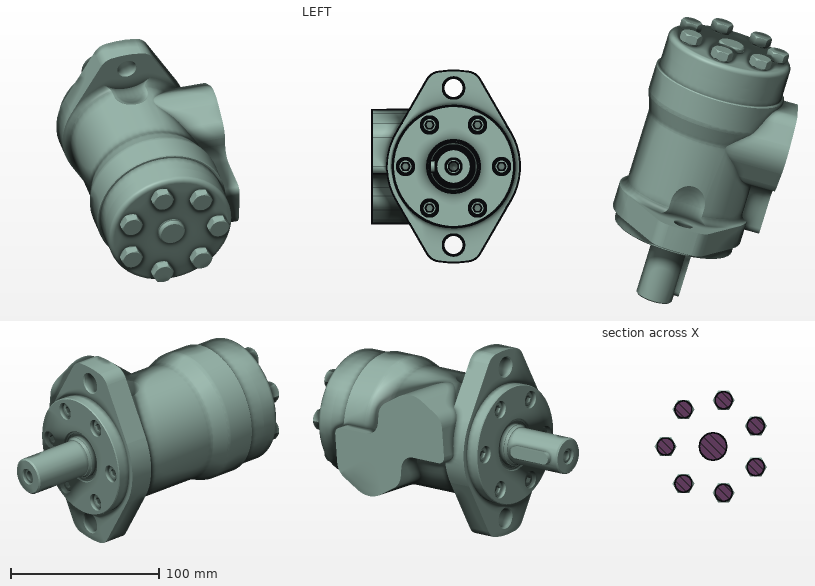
import cadquery as cq
import math

COLLAR_X = 42.7
COLLAR_CYLINDER_X = 44.5
PILOT_X = 46.0
FLANGE_X = 54.5
BODY_X = 70.9
NECK_END_X = 125.3
REAR_BARREL_X = 141.0
PLATE_X = 159.3
RING_X = 163.5
COVER_X = 170.9
COVER_END_X = 183.3
MOTOR_END_X = 190.5

BODY_RADIUS = 40.5
BARREL_RADIUS = 45.0
BLEND_LENGTH = 2.9
BARREL_CHAMFER = 0.5
PILOT_DIAMETER = 82.5
PILOT_CHAMFER = 0.5

FLANGE_TIP_RADIUS = 64.87
FLANGE_CORNER_RADIUS = 10.9
FLANGE_SLOPE = math.radians(60)
MOUNT_HOLE_DIAMETER = 13.3
MOUNT_HOLE_CHAMFER = 0.8
MOUNT_HOLE_OFFSET = 53.0
RELIEF_RADIUS = 24.8
RELIEF_OFFSET = 60.8
RELIEF_END_X = 80.2

BLOCK_FACE_Y = 55.0
BLOCK_CENTER_X = 110.5
LOBE_X = 92.5
LOBE_RADIUS = 20.2
LOBE_TOP_Z = 38.5
LOBE_SLOPE = math.radians(30)
SHOULDER_OFFSET = 27.0
SHOULDER_RADIUS = 11.8
SIDE_DRAFT = math.radians(5)
LEDGE_Z = 5.0
LEDGE_INNER_RADIUS = 10.0
LEDGE_OUTER_RADIUS = 4.8

FRONT_SCREW_COUNT = 6
FRONT_SCREW_CIRCLE_RADIUS = 32.4
COUNTERBORE_DIAMETER = 12.0
COUNTERBORE_DEPTH = 8.2
SCREW_HEAD_DIAMETER = 10.0
SCREW_HEAD_RECESS = 2.3
SCREW_HEAD_CHAMFER = 0.4
SOCKET_FLATS = 5.1
SOCKET_DEPTH = 2.9

SHAFT_DIAMETER = 25.0
SHAFT_CHAMFER = 1.0
SHAFT_END_X = 76.2
COLLAR_TIP_DIAMETER = 25.7
COLLAR_CONE_DIAMETER = 27.8
COLLAR_DIAMETER = 28.5
SEAL_RECESS_DIAMETER = 32.5
SEAL_RECESS_DEPTH = 2.0
SEAL_GAP_DIAMETER = 29.0
SEAL_GAP_DEPTH = 2.9
SEAL_RIM_DIAMETER = 34.9
SEAL_RIM_DEPTH = 1.1
SEAL_RIM_CHAMFER = 0.5
CENTER_COUNTERBORE_DIAMETER = 10.0
CENTER_COUNTERBORE_DEPTH = 2.0
CENTER_CHAMFER = 0.67
CENTER_HOLE_DIAMETER = 6.7
CENTER_HOLE_DEPTH = 15.2
DRILL_POINT_HALF_ANGLE = math.radians(59)

KEY_X = 5.1
KEY_LENGTH = 32.5
KEY_WIDTH = 8.0
KEY_TOP_Y = 15.6
KEY_BOTTOM_Y = 8.5

REAR_DIAMETER = 86.0
COVER_FILLET = 3.2
REAR_BOLT_COUNT = 7
REAR_BOLT_CIRCLE_RADIUS = 32.0
REAR_BOLT_FLATS = 13.0
REAR_BOLT_CHAMFER = 1.1
REAR_BOLT_NECK_DIAMETER = 11.8
REAR_BOLT_NECK_LENGTH = 0.8
PLUG_BASE_DIAMETER = 18.7
PLUG_BASE_LENGTH = 0.8
PLUG_DIAMETER = 18.0
PLUG_CHAMFER = 1.0
PLUG_END_X = 187.0


def cylinder(diameter, x_start, x_end, y=0, z=0):
    """Cylinder along the motor axis between two X places."""
    return (
        cq.Workplane("YZ", origin=(x_start, y, z))
        .circle(diameter / 2)
        .extrude(x_end - x_start)
    )


def hole_mouth(diameter, chamfer, x_face, z=0):
    """Cone that chamfers the mouth of a hole running in +X from a face."""
    cone = cq.Solid.makeCone(
        diameter / 2 + chamfer,
        diameter / 2,
        chamfer,
        pnt=cq.Vector(x_face, 0, z),
        dir=cq.Vector(1, 0, 0),
    )
    return cq.Workplane(cone)


def hexagon(flats, x_start, x_end, y=0, z=0):
    """Hexagonal prism along the motor axis with two of its corners pointing to +Y and -Y."""
    corners = flats / math.cos(math.radians(30))
    return (
        cq.Workplane("YZ", origin=(x_start, y, z))
        .polygon(6, corners)
        .extrude(x_end - x_start)
    )


def bolt_circle(radius, count):
    """Evenly spaced (y, z) places around the motor axis, the first on +Y."""
    angles = [2 * math.pi * i / count for i in range(count)]
    return [(radius * math.cos(a), radius * math.sin(a)) for a in angles]


def make_barrel():
    """Body with a blend into the flange, and a cone flaring out to the rear barrel."""
    flange_blend = BARREL_RADIUS - BODY_RADIUS
    cone_length = REAR_BARREL_X - NECK_END_X - 2 * BLEND_LENGTH
    cone_angle = math.atan((BARREL_RADIUS - BODY_RADIUS) / (cone_length + BLEND_LENGTH))
    blend_rise = BLEND_LENGTH * math.tan(cone_angle / 2)
    lower_blend_end = (NECK_END_X + BLEND_LENGTH, BODY_RADIUS + blend_rise)
    upper_blend_start = (REAR_BARREL_X - BLEND_LENGTH, BARREL_RADIUS - blend_rise)
    diagonal = flange_blend * (1 - math.sqrt(0.5))
    return (
        cq.Workplane("XY")
        .moveTo(FLANGE_X, 0)
        .lineTo(FLANGE_X, BARREL_RADIUS)
        .lineTo(BODY_X, BARREL_RADIUS)
        .threePointArc(
            (BODY_X + diagonal, BODY_RADIUS + diagonal), (BODY_X + flange_blend, BODY_RADIUS)
        )
        .lineTo(NECK_END_X, BODY_RADIUS)
        .tangentArcPoint(lower_blend_end, relative=False)
        .lineTo(*upper_blend_start)
        .tangentArcPoint((REAR_BARREL_X, BARREL_RADIUS), relative=False)
        .lineTo(PLATE_X - BARREL_CHAMFER, BARREL_RADIUS)
        .lineTo(PLATE_X, BARREL_RADIUS - BARREL_CHAMFER)
        .lineTo(PLATE_X, 0)
        .close()
        .revolve(360, (0, 0, 0), (1, 0, 0))
    )


def make_flange():
    """Rhombus around the barrel circle, with its tips cut round and all its corners rounded."""
    side_y = BARREL_RADIUS / math.sin(FLANGE_SLOPE)
    tip_z = BARREL_RADIUS / math.cos(FLANGE_SLOPE)
    rhombus = (
        cq.Workplane("YZ", origin=(FLANGE_X, 0, 0))
        .polyline([(side_y, 0), (0, tip_z), (-side_y, 0), (0, -tip_z)])
        .close()
        .extrude(BODY_X - FLANGE_X)
        .edges("|X and (<Y or >Y)")
        .fillet(BARREL_RADIUS)
    )
    tip_corners = cq.selectors.BoxSelector(
        (FLANGE_X, -side_y, BARREL_RADIUS), (BODY_X, side_y, tip_z)
    )
    bottom_corners = cq.selectors.BoxSelector(
        (FLANGE_X, -side_y, -tip_z), (BODY_X, side_y, -BARREL_RADIUS)
    )
    return (
        rhombus.intersect(cylinder(2 * FLANGE_TIP_RADIUS, FLANGE_X, BODY_X))
        .edges("|X")
        .edges(tip_corners + bottom_corners)
        .fillet(FLANGE_CORNER_RADIUS)
    )


def make_port_block():
    """Block with a lobe, sloping shoulders and a ledge, each repeated by a half turn."""
    lobe_apex_z = LOBE_TOP_Z + LOBE_RADIUS * (1 / math.cos(LOBE_SLOPE) - 1)
    shoulder_z = lobe_apex_z - SHOULDER_OFFSET * math.tan(LOBE_SLOPE)
    lean = math.tan(SIDE_DRAFT)
    side_x = LOBE_X - SHOULDER_OFFSET
    inner_x = LOBE_X + SHOULDER_OFFSET
    outer_ledge_x = 2 * BLOCK_CENTER_X - side_x + (shoulder_z + LEDGE_Z) * lean
    half = [
        (side_x, shoulder_z, SHOULDER_RADIUS),
        (LOBE_X, lobe_apex_z, LOBE_RADIUS),
        (inner_x, shoulder_z, SHOULDER_RADIUS),
        (inner_x + (shoulder_z - LEDGE_Z) * lean, LEDGE_Z, LEDGE_INNER_RADIUS),
        (outer_ledge_x, LEDGE_Z, LEDGE_OUTER_RADIUS),
    ]
    turned = [(2 * BLOCK_CENTER_X - x, -z, radius) for x, z, radius in half]
    corners = half + turned
    block = (
        cq.Workplane("XZ")
        .polyline([(x, z) for x, z, _ in corners])
        .close()
        .extrude(-BLOCK_FACE_Y)
    )
    for x, z, radius in corners:
        edge = cq.selectors.NearestToPointSelector((x, BLOCK_FACE_Y / 2, z))
        block = block.edges("|Y").edges(edge).fillet(radius)
    return block


def mount_hole_cutter():
    """Flange hole chamfered at its front, on the +Z side."""
    hole = cylinder(MOUNT_HOLE_DIAMETER, FLANGE_X, BODY_X, z=MOUNT_HOLE_OFFSET)
    return hole.union(
        hole_mouth(MOUNT_HOLE_DIAMETER, MOUNT_HOLE_CHAMFER, FLANGE_X, MOUNT_HOLE_OFFSET)
    )


def relief_cutter():
    """Trough in the body behind the flange hole on the +Z side, with a spherical end."""
    trough = cylinder(2 * RELIEF_RADIUS, BODY_X, RELIEF_END_X, z=RELIEF_OFFSET)
    ball = cq.Workplane("XY", origin=(RELIEF_END_X, 0, RELIEF_OFFSET)).sphere(RELIEF_RADIUS)
    behind_flange = cylinder(
        2 * RELIEF_RADIUS, RELIEF_END_X, RELIEF_END_X + RELIEF_RADIUS, z=RELIEF_OFFSET
    )
    return trough.union(ball.intersect(behind_flange))


def front_screw_cutter(y, z):
    """Counterbore around a screw head that stays standing in it, with a hexagon socket."""
    head_x = PILOT_X + SCREW_HEAD_RECESS
    floor_x = PILOT_X + COUNTERBORE_DEPTH
    head = (
        cylinder(SCREW_HEAD_DIAMETER, head_x, floor_x, y, z)
        .faces("<X")
        .chamfer(SCREW_HEAD_CHAMFER)
    )
    socket = hexagon(SOCKET_FLATS, head_x, head_x + SOCKET_DEPTH, y, z)
    return cylinder(COUNTERBORE_DIAMETER, PILOT_X, floor_x, y, z).cut(head).union(socket)


def make_housing():
    pilot = cylinder(PILOT_DIAMETER, PILOT_X, FLANGE_X).faces("<X").chamfer(PILOT_CHAMFER)
    housing = make_barrel().union(make_flange()).union(make_port_block()).union(pilot)
    for cutter in (mount_hole_cutter(), relief_cutter()):
        housing = housing.cut(cutter).cut(cutter.mirror("XY"))
    for y, z in bolt_circle(FRONT_SCREW_CIRCLE_RADIUS, FRONT_SCREW_COUNT):
        housing = housing.cut(front_screw_cutter(y, z))
    seal_steps = [
        (SEAL_RIM_DIAMETER, SEAL_RIM_DEPTH),
        (SEAL_RECESS_DIAMETER, SEAL_RECESS_DEPTH),
        (SEAL_GAP_DIAMETER, SEAL_GAP_DEPTH),
    ]
    for diameter, depth in seal_steps:
        housing = housing.cut(cylinder(diameter, PILOT_X, PILOT_X + depth))
    housing = housing.cut(hole_mouth(SEAL_RIM_DIAMETER, SEAL_RIM_CHAMFER, PILOT_X))
    return housing.cut(cylinder(COLLAR_DIAMETER, PILOT_X, SHAFT_END_X))


def make_key():
    """Round-ended key lying along the +Y side of the shaft."""
    return (
        cq.Workplane("XZ", origin=(KEY_X + KEY_LENGTH / 2, KEY_BOTTOM_Y, 0))
        .slot2D(KEY_LENGTH, KEY_WIDTH)
        .extrude(KEY_BOTTOM_Y - KEY_TOP_Y)
    )


def make_shaft():
    """Stepped shaft with a centre hole in its tip and a seat for the key."""
    collar_profile = [
        (COLLAR_X, 0),
        (COLLAR_X, COLLAR_TIP_DIAMETER / 2),
        (COLLAR_CYLINDER_X, COLLAR_CONE_DIAMETER / 2),
        (COLLAR_CYLINDER_X, COLLAR_DIAMETER / 2),
        (SHAFT_END_X, COLLAR_DIAMETER / 2),
        (SHAFT_END_X, 0),
    ]
    collar = (
        cq.Workplane("XY").polyline(collar_profile).close().revolve(360, (0, 0, 0), (1, 0, 0))
    )
    counterbore_radius = CENTER_COUNTERBORE_DIAMETER / 2
    hole_radius = CENTER_HOLE_DIAMETER / 2
    drill_tip_x = CENTER_HOLE_DEPTH + hole_radius / math.tan(DRILL_POINT_HALF_ANGLE)
    center_hole_profile = [
        (0, 0),
        (0, counterbore_radius + CENTER_CHAMFER),
        (CENTER_CHAMFER, counterbore_radius),
        (CENTER_COUNTERBORE_DEPTH, counterbore_radius),
        (CENTER_COUNTERBORE_DEPTH, hole_radius),
        (CENTER_HOLE_DEPTH, hole_radius),
        (drill_tip_x, 0),
    ]
    center_hole = (
        cq.Workplane("XY")
        .polyline(center_hole_profile)
        .close()
        .revolve(360, (0, 0, 0), (1, 0, 0))
    )
    tip = cylinder(SHAFT_DIAMETER, 0, COLLAR_X).faces("<X").chamfer(SHAFT_CHAMFER)
    return tip.union(collar).cut(center_hole).cut(make_key())


def make_rear_bolt(y, z):
    """Bolt head with both ends bevelled, standing on a short round neck."""
    head_x = COVER_END_X + REAR_BOLT_NECK_LENGTH
    corners = REAR_BOLT_FLATS / math.cos(math.radians(30))
    bevel = (
        cylinder(corners, head_x, MOTOR_END_X, y, z)
        .faces("<X or >X")
        .chamfer(REAR_BOLT_CHAMFER)
    )
    head = hexagon(REAR_BOLT_FLATS, head_x, MOTOR_END_X, y, z).intersect(bevel)
    return head.union(cylinder(REAR_BOLT_NECK_DIAMETER, COVER_END_X, head_x, y, z))


def make_cover():
    """End cover with its bolt heads and the central plug."""
    cover = cylinder(REAR_DIAMETER, COVER_X, COVER_END_X).faces(">X").edges().fillet(COVER_FILLET)
    for y, z in bolt_circle(REAR_BOLT_CIRCLE_RADIUS, REAR_BOLT_COUNT):
        cover = cover.union(make_rear_bolt(y, z))
    plug = cylinder(PLUG_DIAMETER, COVER_END_X, PLUG_END_X).faces(">X").chamfer(PLUG_CHAMFER)
    plug_base = cylinder(PLUG_BASE_DIAMETER, COVER_END_X, COVER_END_X + PLUG_BASE_LENGTH)
    return cover.union(plug).union(plug_base)


housing = make_housing()
shaft = make_shaft()
key = make_key()
plate = cylinder(REAR_DIAMETER, PLATE_X, RING_X)
gerotor_ring = cylinder(REAR_DIAMETER, RING_X, COVER_X)
cover = make_cover()

bodies = [housing, shaft, key, plate, gerotor_ring, cover]
result = cq.Compound.makeCompound([body.val() for body in bodies])